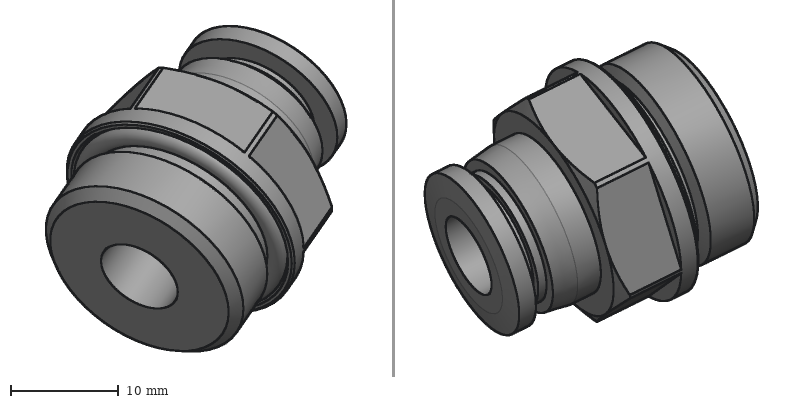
import cadquery as cq
import math

TOTAL_LENGTH = 25.85
BORE_RADIUS = 4.03

THREAD_RADIUS = 10.4
THREAD_TIP_RADIUS = 9.38
THREAD_CHAMFER_LENGTH = 1.03
THREAD_END = 5.8
NECK_RADIUS = 9.25
NECK_START = 6.5

FLANGE_RADIUS = 12.0
FLANGE_FACE = 8.01
FLANGE_CHAMFER = 0.2
HEX_START = 10.03
HEX_END = 16.52
HEX_APOTHEM = 10.52
HEX_CHAMFER_ANGLE = 30.0

SOCKET_RADIUS = 8.27
SOCKET_TIP_RADIUS = 7.88
TAPER_START = 19.05
SOCKET_END = 21.53
STEP_RADIUS = 6.77
STEP_END = 22.45

HEAD_NECK_RADIUS = 5.95
HEAD_START = 23.65
HEAD_RADIUS = 8.32
HEAD_RIM_END = 25.5
HEAD_TIP_RADIUS = 5.95

RING_SECTION_RADIUS = 0.93
RING_CENTRE_RADIUS = NECK_RADIUS + RING_SECTION_RADIUS
RING_FRONT = 7.26
RING_CENTRE_Y = RING_FRONT + RING_SECTION_RADIUS
GROOVE_FLOOR = RING_CENTRE_Y + RING_SECTION_RADIUS
GROOVE_MOUTH_RADIUS = 11.4
GROOVE_FLOOR_RADIUS = 11.12


def revolve_about_y(points):
    """Revolve a closed (radius, Y) outline a full turn about the Y axis."""
    return cq.Workplane("XY").polyline(points).close().revolve(360, (0, 0, 0), (0, 1, 0))


def make_thread_and_flange():
    return revolve_about_y([
        (0, 0),
        (THREAD_TIP_RADIUS, 0),
        (THREAD_RADIUS, THREAD_CHAMFER_LENGTH),
        (THREAD_RADIUS, THREAD_END),
        (NECK_RADIUS, NECK_START),
        (NECK_RADIUS, GROOVE_FLOOR),
        (GROOVE_FLOOR_RADIUS, GROOVE_FLOOR),
        (GROOVE_MOUTH_RADIUS, FLANGE_FACE),
        (FLANGE_RADIUS - FLANGE_CHAMFER, FLANGE_FACE),
        (FLANGE_RADIUS, FLANGE_FACE + FLANGE_CHAMFER),
        (FLANGE_RADIUS, HEX_START),
        (0, HEX_START),
    ])


def make_hexagon():
    """Hexagon with two flats facing +Z and -Z, its corners turned and its far end chamfered."""
    corner_diameter = 2 * HEX_APOTHEM / math.cos(math.radians(30))
    prism = (
        cq.Workplane("XZ", origin=(0, HEX_START, 0))
        .polygon(6, corner_diameter)
        .extrude(HEX_START - HEX_END)
    )
    chamfer_length = (FLANGE_RADIUS - HEX_APOTHEM) * math.tan(math.radians(HEX_CHAMFER_ANGLE))
    turned_envelope = revolve_about_y([
        (0, HEX_START),
        (FLANGE_RADIUS, HEX_START),
        (FLANGE_RADIUS, HEX_END - chamfer_length),
        (HEX_APOTHEM, HEX_END),
        (0, HEX_END),
    ])
    return prism.intersect(turned_envelope)


def make_socket_and_head():
    return revolve_about_y([
        (0, HEX_END),
        (SOCKET_RADIUS, HEX_END),
        (SOCKET_RADIUS, TAPER_START),
        (SOCKET_TIP_RADIUS, SOCKET_END),
        (STEP_RADIUS, SOCKET_END),
        (STEP_RADIUS, STEP_END),
        (HEAD_NECK_RADIUS, STEP_END),
        (HEAD_NECK_RADIUS, HEAD_START),
        (HEAD_RADIUS, HEAD_START),
        (HEAD_RADIUS, HEAD_RIM_END),
        (HEAD_TIP_RADIUS, TOTAL_LENGTH),
        (0, TOTAL_LENGTH),
    ])


def make_bore():
    return cq.Workplane("XZ").circle(BORE_RADIUS).extrude(-TOTAL_LENGTH)


def make_fitting():
    outside = make_thread_and_flange().union(make_hexagon()).union(make_socket_and_head())
    return outside.cut(make_bore())


def make_seal_ring():
    return (
        cq.Workplane("XY")
        .center(RING_CENTRE_RADIUS, RING_CENTRE_Y)
        .circle(RING_SECTION_RADIUS)
        .revolve(360, (-RING_CENTRE_RADIUS, 0, 0), (-RING_CENTRE_RADIUS, 1, 0))
    )


fitting = make_fitting()
seal_ring = make_seal_ring()

result = cq.Compound.makeCompound([fitting.val(), seal_ring.val()])